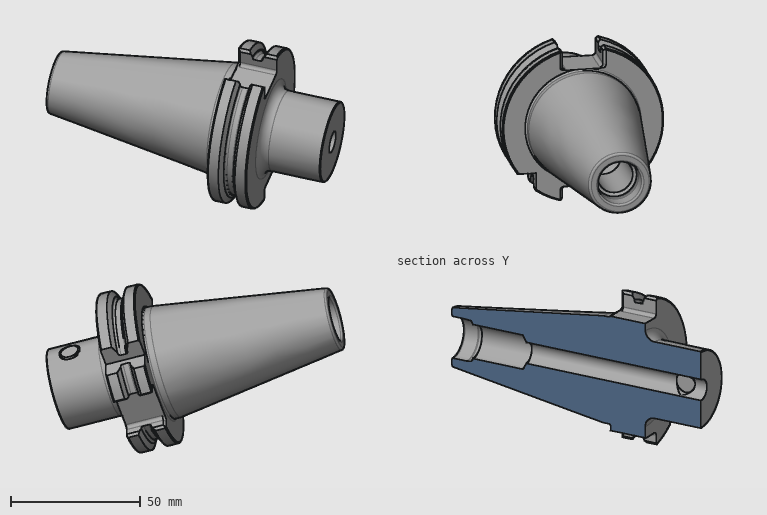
import cadquery as cq
import math

TOTAL_LENGTH = 112.4

TAPER_END_X = 68.3
COLLAR_R = 22.2
TAPER_SLOPE = 7 / 48
SMALL_END_R = COLLAR_R - TAPER_SLOPE * TAPER_END_X
SMALL_END_FILLET = 1.0
COLLAR_FILLET = 0.7

CLEARANCE = 1.1

FLANGE_X = 71.5
FLANGE_WIDTH = 15.8
FLANGE_R = 31.8
FLANGE_CHAMFER = 0.5
FLANGE_END_X = FLANGE_X + FLANGE_WIDTH

GROOVE_X = FLANGE_X + FLANGE_WIDTH / 2
GROOVE_WIDTH = 6.7
GROOVE_FLANK_ANGLE = 30.0
GROOVE_NECK_WIDTH = 3.9
GROOVE_FLOOR_R = 28.1
GROOVE_FLOOR_FILLET = 0.9

SLOT_WIDTH = 16.1
TOP_SLOT_FLOOR = 22.7
BOTTOM_SLOT_FLOOR = 24.8
SLOT_FILLET = 1.3
SLOT_CHAMFER = 1.0

NOTCH_OFFSET = 18.5

NOSE_R = 16.0
NOSE_ROOT_FILLET = 3.9
NOSE_CHAMFER = 0.3

BORE_R = 4.3
THREAD_R = 7.0
THREAD_DEPTH = 32.0
DRILL_POINT_ANGLE = 60.0
COUNTERBORE_R = 8.5
COUNTERBORE_DEPTH = 6.7
STEP_DROP = 0.1
STEP_TAPER_LENGTH = 0.5
STEP_LENGTH = 1.1
MOUTH_FILLET = 0.8

SCREW_X = 102.9
SCREW_R = 4.2
SCREW_CHAMFER = 0.7


def cone_length(large_r, small_r, half_angle):
    """Axial length of a cone between two radii."""
    return (large_r - small_r) / math.tan(math.radians(half_angle))


def revolve_about_x(profile):
    """Close a half-section in the XZ plane and turn it about the X axis."""
    return profile.close().revolve(360, (0, 0, 0), (1, 0, 0))


def make_outer_body():
    """Taper, collar, flange and nose, turned as one solid."""
    profile = (
        cq.Workplane("XZ")
        .lineTo(0, SMALL_END_R)
        .lineTo(TAPER_END_X, COLLAR_R)
        .lineTo(FLANGE_X - COLLAR_FILLET, COLLAR_R)
        .radiusArc((FLANGE_X, COLLAR_R + COLLAR_FILLET), -COLLAR_FILLET)
        .lineTo(FLANGE_X, FLANGE_R - FLANGE_CHAMFER)
        .lineTo(FLANGE_X + FLANGE_CHAMFER, FLANGE_R)
        .lineTo(FLANGE_END_X - FLANGE_CHAMFER, FLANGE_R)
        .lineTo(FLANGE_END_X, FLANGE_R - FLANGE_CHAMFER)
        .lineTo(FLANGE_END_X, NOSE_R + NOSE_ROOT_FILLET)
        .radiusArc((FLANGE_END_X + NOSE_ROOT_FILLET, NOSE_R), -NOSE_ROOT_FILLET)
        .lineTo(TOTAL_LENGTH - NOSE_CHAMFER, NOSE_R)
        .lineTo(TOTAL_LENGTH, NOSE_R - NOSE_CHAMFER)
        .lineTo(TOTAL_LENGTH, 0)
    )
    body = revolve_about_x(profile)
    return body.faces("<X").edges().fillet(SMALL_END_FILLET)


def make_groove():
    """Ring removed from the rim of the flange."""
    half_width = GROOVE_WIDTH / 2
    half_neck = GROOVE_NECK_WIDTH / 2
    half_floor = half_neck - GROOVE_FLOOR_FILLET
    neck_r = FLANGE_R - cone_length(half_width, half_neck, GROOVE_FLANK_ANGLE)
    fillet_top_r = GROOVE_FLOOR_R + GROOVE_FLOOR_FILLET
    clear_r = FLANGE_R + CLEARANCE
    profile = (
        cq.Workplane("XZ")
        .moveTo(GROOVE_X - half_width, clear_r)
        .lineTo(GROOVE_X - half_width, FLANGE_R)
        .lineTo(GROOVE_X - half_neck, neck_r)
        .lineTo(GROOVE_X - half_neck, fillet_top_r)
        .radiusArc((GROOVE_X - half_floor, GROOVE_FLOOR_R), -GROOVE_FLOOR_FILLET)
        .lineTo(GROOVE_X + half_floor, GROOVE_FLOOR_R)
        .radiusArc((GROOVE_X + half_neck, fillet_top_r), -GROOVE_FLOOR_FILLET)
        .lineTo(GROOVE_X + half_neck, neck_r)
        .lineTo(GROOVE_X + half_width, FLANGE_R)
        .lineTo(GROOVE_X + half_width, clear_r)
    )
    return revolve_about_x(profile)


def slot_profile(x, width, floor_z):
    """Wire of a slot's cross-section at x, with rounded lower corners."""
    half_width = width / 2
    half_floor = half_width - SLOT_FILLET
    fillet_top_z = floor_z + SLOT_FILLET
    open_z = FLANGE_R + CLEARANCE
    return (
        cq.Workplane("YZ", origin=(x, 0, 0))
        .moveTo(-half_width, open_z)
        .lineTo(-half_width, fillet_top_z)
        .radiusArc((-half_floor, floor_z), -SLOT_FILLET)
        .lineTo(half_floor, floor_z)
        .radiusArc((half_width, fillet_top_z), -SLOT_FILLET)
        .lineTo(half_width, open_z)
        .close()
    )


def make_top_slot(floor_z):
    """Driving slot at +Z, flared at its -X end and along its rim edges."""
    start_x = FLANGE_X - COLLAR_FILLET
    slot = slot_profile(start_x, SLOT_WIDTH, floor_z).extrude(FLANGE_END_X - start_x)

    flared_width = SLOT_WIDTH + 2 * SLOT_CHAMFER
    flare = cq.Solid.makeLoft(
        [
            slot_profile(FLANGE_X, flared_width, floor_z).wire().val(),
            slot_profile(FLANGE_X + SLOT_CHAMFER, SLOT_WIDTH, floor_z).wire().val(),
        ],
        True,
    )

    half_flare = flared_width / 2
    rim_z = math.sqrt(FLANGE_R**2 - half_flare**2)
    bevel = (
        cq.Workplane("YZ", origin=(FLANGE_X, 0, 0))
        .moveTo(0, rim_z - half_flare)
        .lineTo(half_flare + CLEARANCE, rim_z + CLEARANCE)
        .lineTo(-half_flare - CLEARANCE, rim_z + CLEARANCE)
        .close()
        .extrude(FLANGE_WIDTH)
    )
    above_floor = (
        cq.Workplane("XY", origin=(GROOVE_X, 0, floor_z))
        .rect(FLANGE_WIDTH, 2 * FLANGE_R)
        .extrude(FLANGE_R)
    )
    return slot.union(flare).union(bevel.intersect(above_floor))


def make_bottom_slot(floor_depth):
    """Driving slot at -Z, the mirror image of a top slot with the given floor distance."""
    return make_top_slot(floor_depth).mirror("XY")


def make_notch():
    """Square corner cut out of the rim at +Y, -Z, through the whole flange."""
    return (
        cq.Workplane("YZ", origin=(FLANGE_X, 0, 0))
        .moveTo(NOTCH_OFFSET, -NOTCH_OFFSET)
        .lineTo(FLANGE_R, -NOTCH_OFFSET)
        .lineTo(FLANGE_R, -FLANGE_R)
        .lineTo(NOTCH_OFFSET, -FLANGE_R)
        .close()
        .extrude(FLANGE_WIDTH)
    )


def make_bore():
    """Through hole and the stepped drawbar hole that opens at x = 0."""
    step_r = COUNTERBORE_R - STEP_DROP
    shoulder_r = step_r - STEP_DROP
    step_x = COUNTERBORE_DEPTH + STEP_TAPER_LENGTH
    step_end_x = step_x + STEP_LENGTH
    shoulder_x = step_end_x + STEP_TAPER_LENGTH
    shoulder_end_x = shoulder_x + cone_length(shoulder_r, THREAD_R, DRILL_POINT_ANGLE)
    drill_point_end_x = THREAD_DEPTH + cone_length(THREAD_R, BORE_R, DRILL_POINT_ANGLE)
    profile = (
        cq.Workplane("XZ")
        .lineTo(0, COUNTERBORE_R + MOUTH_FILLET)
        .radiusArc((MOUTH_FILLET, COUNTERBORE_R), -MOUTH_FILLET)
        .lineTo(COUNTERBORE_DEPTH, COUNTERBORE_R)
        .lineTo(step_x, step_r)
        .lineTo(step_end_x, step_r)
        .lineTo(shoulder_x, shoulder_r)
        .lineTo(shoulder_end_x, THREAD_R)
        .lineTo(THREAD_DEPTH, THREAD_R)
        .lineTo(drill_point_end_x, BORE_R)
        .lineTo(TOTAL_LENGTH, BORE_R)
        .lineTo(TOTAL_LENGTH, 0)
    )
    return revolve_about_x(profile)


def make_screw_cylinder(inner_y, outer_y):
    """Cylinder along Y on the screw axis."""
    return (
        cq.Workplane("XZ", origin=(SCREW_X, inner_y, 0))
        .circle(SCREW_R)
        .extrude(inner_y - outer_y)
    )


def make_holder():
    """Tool holder body."""
    screw_hole = make_screw_cylinder(0, NOSE_R + CLEARANCE)
    return (
        make_outer_body()
        .cut(make_groove())
        .cut(make_top_slot(TOP_SLOT_FLOOR))
        .cut(make_bottom_slot(BOTTOM_SLOT_FLOOR))
        .cut(make_notch())
        .cut(make_bore())
        .cut(screw_hole)
    )


def make_clamping_screw():
    """Headless screw from the bore to the surface of the nose."""
    return make_screw_cylinder(BORE_R, NOSE_R).faces(">Y").edges().chamfer(SCREW_CHAMFER)


holder = make_holder()
clamping_screw = make_clamping_screw()
result = cq.Compound.makeCompound([holder.val(), clamping_screw.val()])